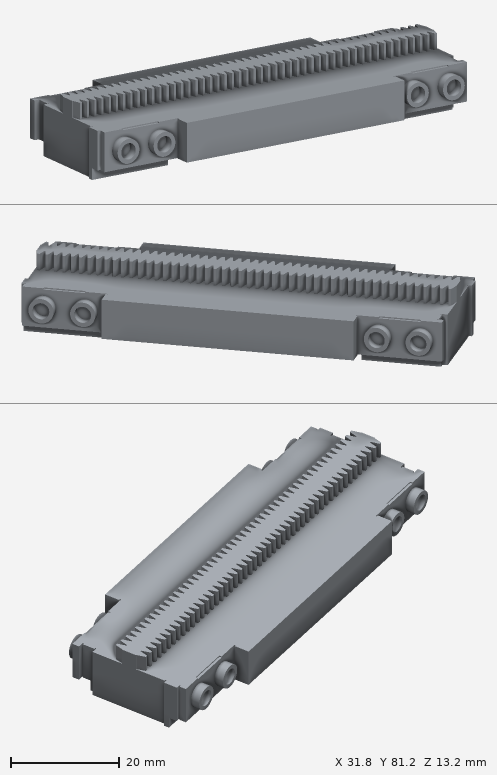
import cadquery as cq

overall_length = 81.2
overall_width = 31.8
overall_height = 13.2

foot_height = 2.3
body_height = 7.7
rack_height = overall_height - foot_height - body_height
deck_z = foot_height + body_height

body_length = 80.1
end_width = 25.2
wide_length = 48.1

foot_width = 18.4
foot_inner_y = 23.9

tooth_count = 50
tooth_pitch = body_length / tooth_count
tooth_tip_width = 0.5
tooth_root_gap = 0.2
rack_tip_half_width = 3.3
rack_root_half_width = 1.55

joint_inner_x = 8.1
tongue_width = 2.85
notch_width = 3.0
notch_depth = 1.0

relief_width = 0.25
relief_depth = 0.3

boss_diameter = 4.8
boss_bore = 3.2
boss_reach = 14.45
boss_pitch = 7.95
boss_outer_y = 36.0
boss_z = foot_height + body_height / 2

step_width = 0.5
step_depth = 0.25


def block(x_range, y_range, z_range):
    """Box spanning the given (low, high) ranges."""
    x_low, x_high = x_range
    y_low, y_high = y_range
    z_low, z_high = z_range
    return (
        cq.Workplane("XY")
        .box(x_high - x_low, y_high - y_low, z_high - z_low, centered=False)
        .translate((x_low, y_low, z_low))
    )


def both_ends(shape):
    """The shape together with its copy turned half a turn about Z."""
    return shape.union(shape.rotate((0, 0, 0), (0, 0, 1), 180))


def make_body():
    """Stepped slab with a foot under each end."""
    half_length = body_length / 2
    half_end = end_width / 2
    half_wide = overall_width / 2
    ends = block((-half_end, half_end), (-half_length, half_length), (foot_height, deck_z))
    middle = block((-half_wide, half_wide), (-wide_length / 2, wide_length / 2), (foot_height, deck_z))
    foot = block((-foot_width / 2, foot_width / 2), (foot_inner_y, half_length), (0, foot_height))
    return ends.union(middle).union(both_ends(foot))


def make_tongue():
    """Tongue on the +Y face, reaching down the foot where it overlaps the foot."""
    root_y = body_length / 2 - notch_depth
    tip_y = overall_length / 2
    outer_x = joint_inner_x + tongue_width
    upper = block((-outer_x, -joint_inner_x), (root_y, tip_y), (foot_height, deck_z))
    lower = block((-foot_width / 2, -joint_inner_x), (root_y, tip_y), (0, foot_height))
    return upper.union(lower)


def make_notch():
    """Space for the mating tongue, cut through the full height of the +Y face."""
    half_length = body_length / 2
    return block(
        (joint_inner_x, joint_inner_x + notch_width),
        (half_length - notch_depth, half_length),
        (0, deck_z),
    )


def make_reliefs():
    """Corner relief cutters for the +Y end."""
    shoulder_y = wide_length / 2
    end_y = body_length / 2
    notch_floor_y = end_y - notch_depth
    corners = [
        (-end_width / 2 - relief_width, shoulder_y),
        (end_width / 2, shoulder_y),
        (-joint_inner_x - tongue_width - relief_width, end_y),
        (-joint_inner_x, end_y),
        (joint_inner_x, notch_floor_y),
        (joint_inner_x + notch_width - relief_width, notch_floor_y),
    ]
    cutters = cq.Workplane("XY")
    for low_x, face_y in corners:
        cutter = block((low_x, low_x + relief_width), (face_y - relief_depth, face_y), (0, deck_z))
        cutters = cutters.union(cutter)
    return cutters


def make_rack():
    """Rack with trapezoidal teeth on both sides."""
    half_length = body_length / 2
    half_tip = tooth_tip_width / 2
    half_base = (tooth_pitch - tooth_root_gap) / 2
    side = [(rack_root_half_width, -half_length)]
    for tooth in range(tooth_count):
        centre_y = (tooth + 0.5) * tooth_pitch - half_length
        side.append((rack_root_half_width, centre_y - half_base))
        side.append((rack_tip_half_width, centre_y - half_tip))
        side.append((rack_tip_half_width, centre_y + half_tip))
        side.append((rack_root_half_width, centre_y + half_base))
    side.append((rack_root_half_width, half_length))
    other_side = [(-x, y) for x, y in reversed(side)]
    return cq.Workplane("XY", origin=(0, 0, deck_z)).polyline(side + other_side).close().extrude(rack_height)


boss_centres = [
    (sign * y, boss_z)
    for sign in (-1, 1)
    for y in (boss_outer_y, boss_outer_y - boss_pitch)
]


def side_cylinders(diameter):
    """Cylinders along X from each end side face out to the boss rim."""
    face_x = end_width / 2
    right = (
        cq.Workplane("YZ", origin=(face_x, 0, 0))
        .pushPoints(boss_centres)
        .circle(diameter / 2)
        .extrude(boss_reach - face_x)
    )
    return right.union(right.mirror("YZ"))


def make_deck_steps():
    """Cutters for the stepped deck edges, one at each side of each end."""
    half_end = end_width / 2
    step = block(
        (half_end - step_width, half_end),
        (boss_outer_y - boss_pitch, boss_outer_y),
        (deck_z - step_depth, deck_z),
    )
    pair = step.union(step.mirror("YZ"))
    return both_ends(pair)


result = (
    make_body()
    .union(both_ends(make_tongue()))
    .cut(both_ends(make_notch()))
    .cut(both_ends(make_reliefs()))
    .union(make_rack())
    .union(side_cylinders(boss_diameter))
    .cut(side_cylinders(boss_bore))
    .cut(make_deck_steps())
)